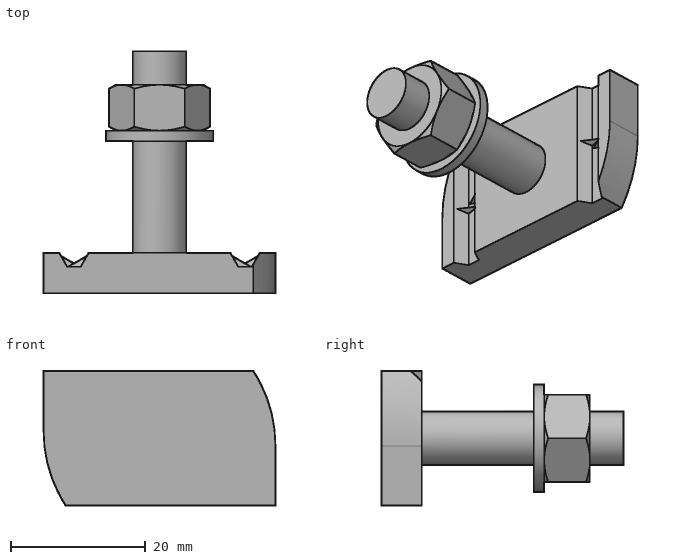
import cadquery as cq
import math

total_length = 36.0
head_width = 34.5
head_height = 20.0
head_thickness = 6.0
corner_width = 3.3
corner_height = 11.12
shank_diameter = 8.0

groove_offset = 12.7
groove_top_width = 4.32
groove_floor_width = 2.05
groove_depth = 2.0

tooth_tilt = 30.0
tooth_half_angle = 30.0
crest_height = 0.45

nut_across_flats = 13.0
nut_height = 6.8
nut_chamfer_angle = 30.0
washer_diameter = 16.0
washer_thickness = 1.6
protrusion = 5.0

nut_end = total_length - protrusion
nut_start = nut_end - nut_height
washer_start = nut_start - washer_thickness

tooth_height = (
    crest_height * math.cos(math.radians(tooth_tilt))
    + groove_floor_width / 2 * math.sin(math.radians(tooth_tilt))
)
tooth_half_width = tooth_height * math.tan(math.radians(tooth_half_angle))


def cylinder(diameter, start, length):
    """Cylinder along +Y that begins at Y = start."""
    return cq.Workplane("XZ", origin=(0, start, 0)).circle(diameter / 2).extrude(-length)


def make_head():
    x, z = head_width / 2, head_height / 2
    radius = (corner_width**2 + corner_height**2) / (2 * corner_width)
    corner_angle = math.asin(corner_height / radius)
    mid_x = x - radius * (1 - math.cos(corner_angle / 2))
    tangent_z = z - corner_height
    mid_z = tangent_z + radius * math.sin(corner_angle / 2)
    return (
        cq.Workplane("XZ")
        .moveTo(-x, z)
        .lineTo(x - corner_width, z)
        .threePointArc((mid_x, mid_z), (x, tangent_z))
        .lineTo(x, -z)
        .lineTo(-x + corner_width, -z)
        .threePointArc((-mid_x, -mid_z), (-x, -tangent_z))
        .close()
        .extrude(-head_thickness)
    )


def make_groove(center_x):
    """Straight trapezoidal groove that runs through along Z."""
    floor_y = head_thickness - groove_depth
    return (
        cq.Workplane("XY")
        .polyline([
            (center_x - groove_top_width / 2, head_thickness),
            (center_x - groove_floor_width / 2, floor_y),
            (center_x + groove_floor_width / 2, floor_y),
            (center_x + groove_top_width / 2, head_thickness),
        ])
        .close()
        .extrude(head_height / 2, both=True)
    )


def make_tooth(center_x, wall, center_z):
    """Sharp-crested wedge from one groove wall (-1 left, +1 right) down to the floor."""
    tilt = math.radians(tooth_tilt)
    crest_origin = (center_x, head_thickness - groove_depth + crest_height, center_z)
    crest_direction = (-wall * math.cos(tilt), -math.sin(tilt), 0)
    outward = (-wall * math.sin(tilt), math.cos(tilt), 0)
    bar = (
        cq.Workplane(cq.Plane(crest_origin, xDir=outward, normal=crest_direction))
        .polyline([(0, 0), (-tooth_height, tooth_half_width), (-tooth_height, -tooth_half_width)])
        .close()
        .extrude(groove_top_width, both=True)
    )
    return bar.intersect(make_groove(center_x))


def make_stud():
    stud = make_head()
    for side in (-1, 1):
        center_x = side * groove_offset
        stud = stud.cut(make_groove(center_x))
        stud = stud.union(make_tooth(center_x, -side, tooth_half_width))
        stud = stud.union(make_tooth(center_x, side, -tooth_half_width))
    return stud.union(cylinder(shank_diameter, 0, total_length))


def make_washer():
    ring = cylinder(washer_diameter, washer_start, washer_thickness)
    return ring.cut(cylinder(shank_diameter, washer_start, washer_thickness))


def make_nut():
    """Hexagonal nut, flats facing up and down, corners chamfered by a cone at both ends."""
    corner_radius = nut_across_flats / math.sqrt(3)
    flat_radius = nut_across_flats / 2
    drop = (corner_radius - flat_radius) * math.tan(math.radians(nut_chamfer_angle))
    hexagon = (
        cq.Workplane("XZ", origin=(0, nut_start, 0))
        .polygon(6, 2 * corner_radius)
        .extrude(-nut_height)
    )
    envelope = (
        cq.Workplane("XY")
        .polyline([
            (0, nut_start),
            (flat_radius, nut_start),
            (corner_radius, nut_start + drop),
            (corner_radius, nut_end - drop),
            (flat_radius, nut_end),
            (0, nut_end),
        ])
        .close()
        .revolve(360, (0, 0, 0), (0, 1, 0))
    )
    return hexagon.intersect(envelope).cut(cylinder(shank_diameter, nut_start, nut_height))


stud = make_stud()
washer = make_washer()
nut = make_nut()

result = cq.Compound.makeCompound([stud.val(), washer.val(), nut.val()])